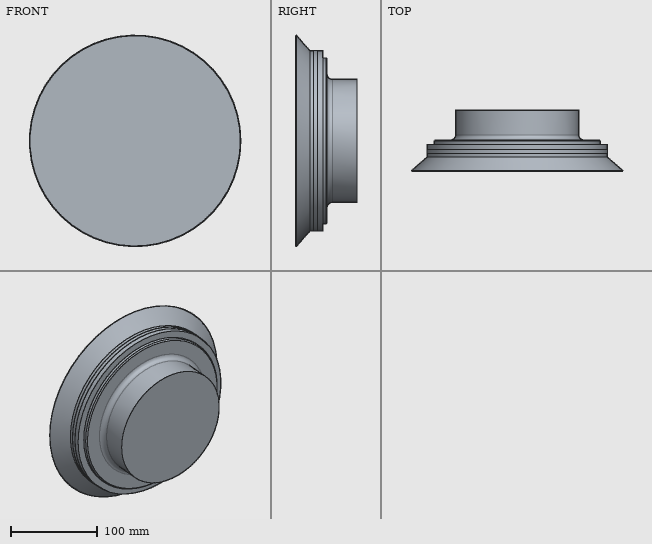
import cadquery as cq

RIM_RADIUS = 122.7
BAND_RADIUS = 209.3 / 2
COLLAR_RADIUS = 209.8 / 2
STEP_RADIUS = 192.8 / 2
HUB_RADIUS = 143.0 / 2

RIM_BACK = 1.2
CONE_BACK = 17.0
FRONT_BAND_BACK = 21.0
COLLAR_BACK = 25.8
REAR_BAND_BACK = 31.6
STEP_BACK = 36.8
HUB_BACK = 71.5

RIM_TAPER = 0.7
STEP_CHAMFER = 1.5
HUB_FILLET = 6.0


def disc(radius, front, back):
    """Solid cylinder on the Y axis between two Y positions."""
    return cq.Workplane("XZ", origin=(0, front, 0)).circle(radius).extrude(front - back)


def make_face_plate():
    """Flared front plate with a straight band and a slightly larger collar behind it."""
    flare = (
        cq.Workplane("XY")
        .polyline([
            (0, 0),
            (RIM_RADIUS - RIM_TAPER, 0),
            (RIM_RADIUS, RIM_BACK),
            (BAND_RADIUS, CONE_BACK),
            (0, CONE_BACK),
        ])
        .close()
        .revolve(360, (0, 0, 0), (0, 1, 0))
    )
    front_band = disc(BAND_RADIUS, CONE_BACK, FRONT_BAND_BACK)
    collar = disc(COLLAR_RADIUS, FRONT_BAND_BACK, COLLAR_BACK)
    return flare.union(front_band).union(collar)


def make_hub():
    """Rear flange with a chamfered step, blended into a cylindrical hub."""
    rear_band = disc(BAND_RADIUS, COLLAR_BACK, REAR_BAND_BACK)
    step = disc(STEP_RADIUS, REAR_BAND_BACK, STEP_BACK).faces(">Y").chamfer(STEP_CHAMFER)
    boss = disc(HUB_RADIUS, STEP_BACK, HUB_BACK)
    body = rear_band.union(step).union(boss)
    root_edge = cq.selectors.BoxSelector(
        (-STEP_RADIUS, STEP_BACK - STEP_CHAMFER / 2, -STEP_RADIUS),
        (STEP_RADIUS, STEP_BACK + STEP_CHAMFER / 2, STEP_RADIUS),
    )
    root = body.edges(root_edge).edges(cq.selectors.RadiusNthSelector(0))
    return root.fillet(HUB_FILLET)


face_plate = make_face_plate()
hub = make_hub()
result = cq.Compound.makeCompound([face_plate.val(), hub.val()])